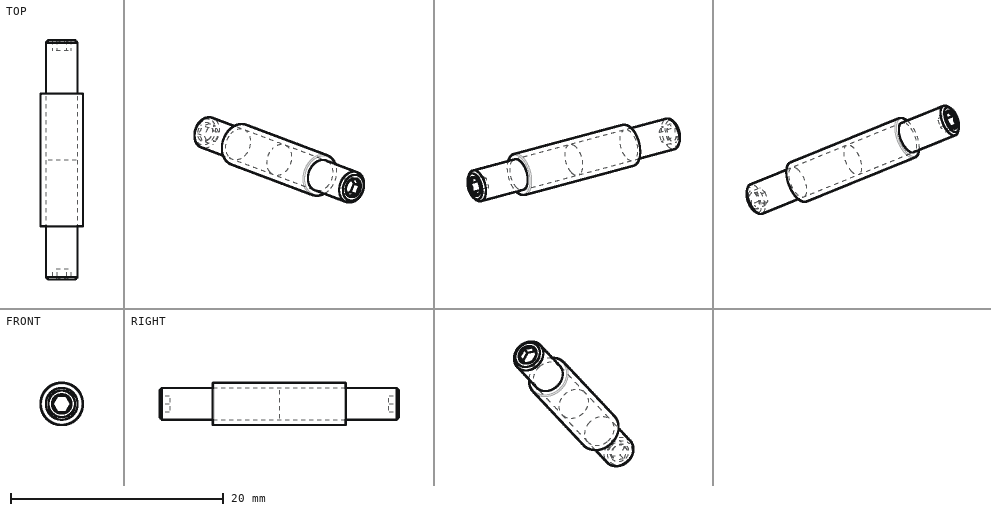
import cadquery as cq
import math

total_length = 22.5
sleeve_diameter = 4.0
sleeve_rim_radius = 0.11
screw_diameter = 3.0
screw_tip_diameter = 2.5
screw_protrusion = 5.0

socket_across_flats = 1.5
socket_depth = 1.0
countersink_diameter = 1.82

sleeve_length = total_length - 2 * screw_protrusion
screw_length = total_length / 2
screw_chamfer = (screw_diameter - screw_tip_diameter) / 2
socket_across_corners = socket_across_flats / math.cos(math.radians(30))
countersink_depth = (countersink_diameter - socket_across_flats) / 2


def cross_section(y):
    """Workplane across the axis at y, with local X along X and its normal along -Y."""
    return cq.Workplane("XZ", origin=(0, y, 0))


def make_sleeve():
    """Tube with rounded outer rims and a through bore that fits the screws."""
    rod = (
        cross_section(sleeve_length / 2)
        .circle(sleeve_diameter / 2)
        .extrude(sleeve_length)
        .faces("<Y or >Y")
        .fillet(sleeve_rim_radius)
    )
    bore = cross_section(sleeve_length / 2).circle(screw_diameter / 2).extrude(sleeve_length)
    return rod.cut(bore)


def make_socket(end_y):
    """Cutter for a countersunk hexagon socket that opens towards -Y at end_y."""
    hexagon = cross_section(end_y).polygon(6, socket_across_corners).extrude(-socket_depth)
    countersink = cq.Workplane(
        cq.Solid.makeCone(
            countersink_diameter / 2,
            socket_across_flats / 2,
            countersink_depth,
            pnt=cq.Vector(0, end_y, 0),
            dir=cq.Vector(0, 1, 0),
        )
    )
    return hexagon.union(countersink)


def make_screw(turn):
    """Headless screw with its outer end at -Y, turned about Z by the given angle."""
    end_y = -total_length / 2
    body = (
        cross_section(end_y)
        .circle(screw_diameter / 2)
        .extrude(-screw_length)
        .faces("<Y")
        .chamfer(screw_chamfer)
    )
    return body.cut(make_socket(end_y)).rotate((0, 0, 0), (0, 0, 1), turn)


sleeve = make_sleeve()
screws = [make_screw(turn) for turn in (0, 180)]

result = cq.Compound.makeCompound([sleeve.val(), *[screw.val() for screw in screws]])